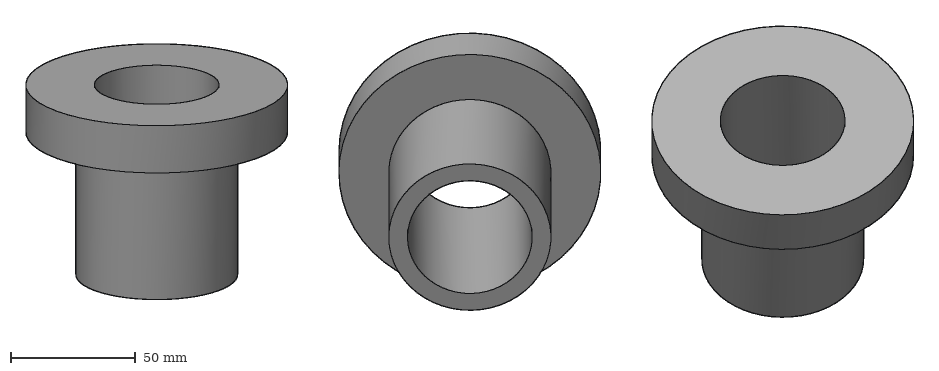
import cadquery as cq

flange_diameter = 105.0
shank_diameter = 65.0
bore_diameter = 50.0
total_height = 80.0
flange_thickness = 20.0
shank_length = total_height - flange_thickness

shank = cq.Workplane("XY").circle(shank_diameter / 2).extrude(shank_length)

flange = (
    cq.Workplane("XY")
    .workplane(offset=shank_length)
    .circle(flange_diameter / 2)
    .extrude(flange_thickness)
)

bore = cq.Workplane("XY").circle(bore_diameter / 2).extrude(total_height)

result = shank.union(flange).cut(bore)